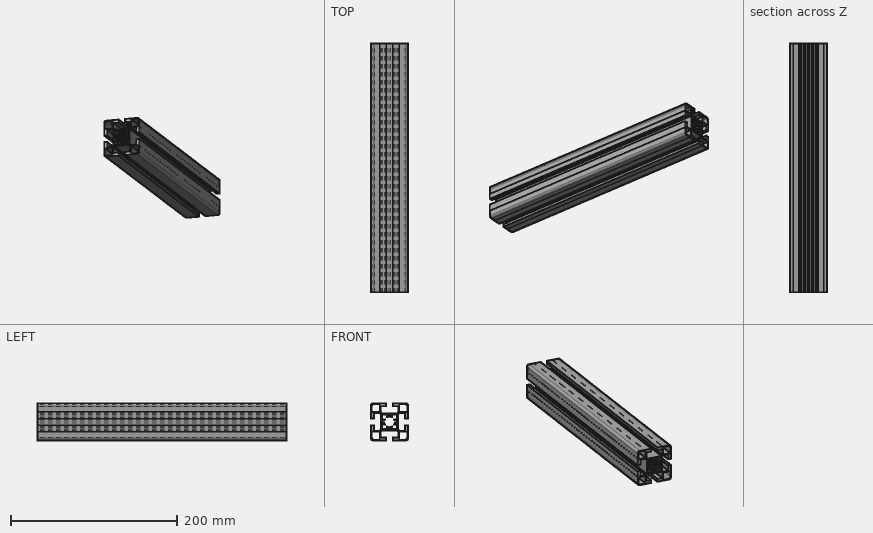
import cadquery as cq
import math

length = 300.0
side = 45.0
half_side = side / 2

slot_opening = 8.0
lip_thickness = 4.0

core_side = 21.0
core_wall = 1.95
half_core = core_side / 2
half_core_cavity = half_core - core_wall

corner_radius = 3.0
cavity_radius = 2.5
skin_thickness = 1.2
web_thickness = 1.5

joint_bevel = 1.2

screw_diameter = 12.5
rib_pair_width = 7.0
rib_gap = 2.5

quarter_turns = 4


def bar_between(x_min, x_max, z_min, z_max):
    """Full-length bar filling the given cross-section rectangle."""
    bar = cq.Workplane("XY").box(x_max - x_min, length, z_max - z_min)
    return bar.translate(((x_min + x_max) / 2, 0, (z_min + z_max) / 2))


def square_bar(half_width):
    """Full-length square bar centred on the long axis."""
    return bar_between(-half_width, half_width, -half_width, half_width)


def spin(bar, angle):
    """Turn a bar about the long axis."""
    return bar.rotate((0, 0, 0), (0, 1, 0), angle)


def make_core():
    """Square tube around the long axis."""
    return square_bar(half_core).cut(square_bar(half_core_cavity))


def make_corner_tube():
    """Hollow corner tube at +X +Z, with the lips that overhang its two neighbouring slots."""
    half_opening = slot_opening / 2
    lip_inner = half_side - lip_thickness
    tube = bar_between(half_core, half_side, half_core, half_side)
    tube = tube.union(bar_between(half_opening, half_side, lip_inner, half_side))
    tube = tube.union(bar_between(lip_inner, half_side, half_opening, half_side))
    tube = tube.edges("|Y and >X and >Z").fillet(corner_radius)

    cavity_min = half_core + web_thickness
    cavity_max = half_side - skin_thickness
    cavity = bar_between(cavity_min, cavity_max, cavity_min, cavity_max)
    cavity = cavity.edges("|Y and >X and >Z").fillet(cavity_radius)
    return tube.cut(cavity)


def make_joint():
    """Diamond bar that joins the core to a corner tube and bevels the slot corners beside it."""
    diamond = spin(square_bar(joint_bevel / math.sqrt(2)), 45)
    return diamond.translate((half_core, 0, half_core))


def make_rib_pair():
    """Two ribs hanging from the upper core wall, with their tips trimmed by the screw bore."""
    rib_root = half_core - core_wall / 2
    ribs = bar_between(-rib_pair_width / 2, rib_pair_width / 2, 0, rib_root)
    gap = bar_between(-rib_gap / 2, rib_gap / 2, 0, half_core_cavity)
    bore = cq.Workplane("XZ").circle(screw_diameter / 2).extrude(length / 2, both=True)
    return ribs.cut(gap).cut(bore)


result = make_core()
for turn in range(quarter_turns):
    turn_angle = turn * 360 / quarter_turns
    for feature in (make_corner_tube(), make_joint(), make_rib_pair()):
        result = result.union(spin(feature, turn_angle))